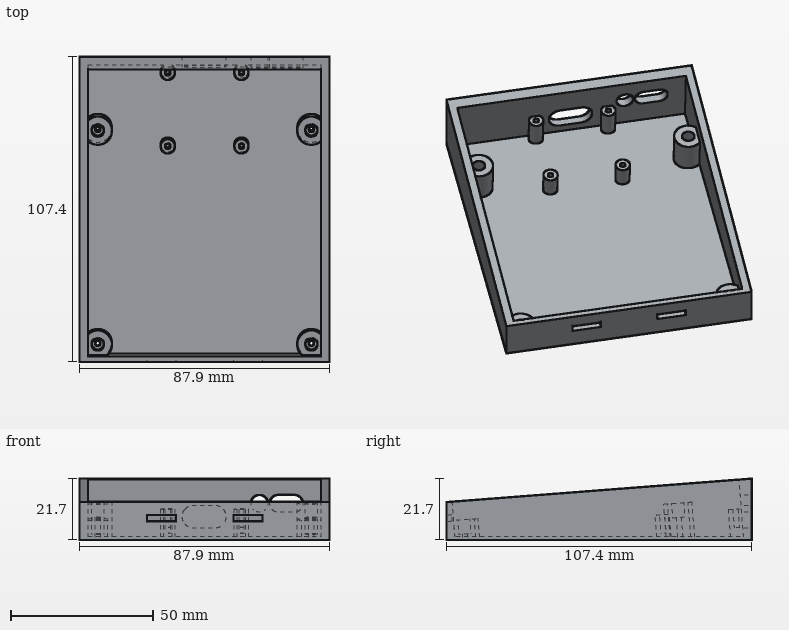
import cadquery as cq
import math

width = 87.9
length = 107.4
front_height = 13.4
back_height = 21.7
floor_thickness = 1.3

side_wall = 3.0
front_wall = 2.0
back_wall = 4.5

rim_angle = math.atan2(back_height - front_height, length)
rim_length = math.hypot(length, back_height - front_height)

cover_post_diameter = 10.0
cover_post_depth = 6.7
cover_post_inset = 6.4
cover_post_rows = (5.7, 81.0)
screw_head_diameter = 4.3
screw_diameter = 1.8
screw_head_depth = 5.0

board_post_diameter = 5.0
board_post_depth = 10.3
board_post_pitch = 25.9
board_post_left = 31.0
board_post_front = 75.3
board_hole_diameter = 1.8
board_hole_depth = 6.4

port_diameter = 6.0
port_height = 12.9
round_port_x = 63.2
small_slot_x = 72.7
small_slot_length = 11.7
large_slot_x = 43.8
large_slot_length = 15.5
large_slot_width = 7.9
large_slot_height = 8.3

strap_slot_lefts = (23.7, 54.1)
strap_slot_length = 10.2
strap_slot_bottom = 6.5
strap_slot_width = 2.3
strap_slot_depth = 2.0

overrun = 32.2
wall_cut_depth = 8.6

rim_plane = cq.Plane(
    origin=(0, 0, front_height),
    xDir=(1, 0, 0),
    normal=(0, -math.sin(rim_angle), math.cos(rim_angle)),
)


def rim_cylinder(points, diameter, top_depth, height):
    """Cylinders square to the rim, starting at top_depth below it."""
    return (
        cq.Workplane(rim_plane)
        .workplane(offset=-top_depth)
        .pushPoints(points)
        .circle(diameter / 2)
        .extrude(-height)
    )


def make_wedge():
    return (
        cq.Workplane("YZ")
        .polyline([(0, 0), (length, 0), (length, back_height), (0, front_height)])
        .close()
        .extrude(width)
    )


def make_cavity():
    """Space with walls square to the rim, above a level floor."""
    cavity_length = rim_length - front_wall - back_wall
    shaft = (
        cq.Workplane(rim_plane)
        .workplane(offset=-overrun)
        .moveTo(side_wall, front_wall)
        .rect(width - 2 * side_wall, cavity_length, centered=False)
        .extrude(2 * overrun)
    )
    above_floor = (
        cq.Workplane("XY")
        .workplane(offset=floor_thickness)
        .rect(width, 2 * length, centered=(False, True))
        .extrude(2 * overrun)
    )
    return shaft.intersect(above_floor)


def back_slot(x, z, slot_length, slot_width):
    """Round-ended cutter through the back wall."""
    return (
        cq.Workplane("XZ", origin=(x, length, z))
        .slot2D(slot_length, slot_width)
        .extrude(wall_cut_depth)
    )


wedge = make_wedge()
cavity = make_cavity()

cover_points = [
    (x, y) for x in (cover_post_inset, width - cover_post_inset) for y in cover_post_rows
]
board_points = [
    (board_post_left + column * board_post_pitch, board_post_front + row * board_post_pitch)
    for column in range(2)
    for row in range(2)
]

cover_posts = rim_cylinder(cover_points, cover_post_diameter, cover_post_depth, overrun)
board_posts = rim_cylinder(board_points, board_post_diameter, board_post_depth, overrun)
result = wedge.cut(cavity.cut(cover_posts).cut(board_posts))

result = result.cut(
    rim_cylinder(cover_points, screw_head_diameter, cover_post_depth, screw_head_depth)
)
result = result.cut(rim_cylinder(cover_points, screw_diameter, cover_post_depth, overrun))

result = result.cut(
    rim_cylinder(board_points, board_hole_diameter, board_post_depth, board_hole_depth)
)

round_port = (
    cq.Workplane("XZ", origin=(round_port_x, length, port_height))
    .circle(port_diameter / 2)
    .extrude(wall_cut_depth)
)
result = result.cut(round_port)
result = result.cut(back_slot(small_slot_x, port_height, small_slot_length, port_diameter))
result = result.cut(
    back_slot(large_slot_x, large_slot_height, large_slot_length, large_slot_width)
)

for left in strap_slot_lefts:
    strap_slot = (
        cq.Workplane("XY")
        .box(
            strap_slot_length,
            2 * strap_slot_depth,
            strap_slot_width,
            centered=(False, True, False),
        )
        .rotate((0, 0, 0), (1, 0, 0), math.degrees(rim_angle))
        .translate((left, 0, strap_slot_bottom))
    )
    result = result.cut(strap_slot)